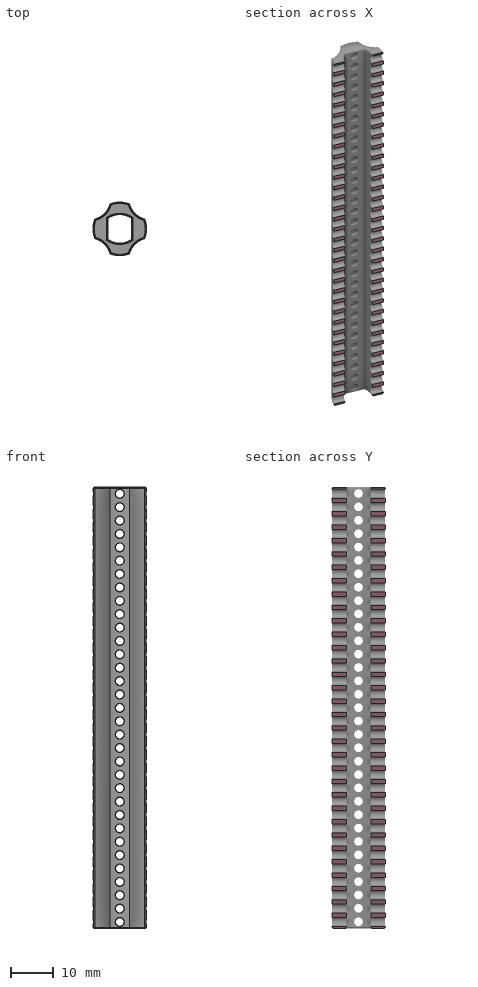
import cadquery as cq
import math

HOLE_PITCH = 3.125
HOLES_PER_ROW = 33
LENGTH = HOLE_PITCH * HOLES_PER_ROW
HOLE_DIAMETER = 2.0

RIB_COUNT = 4
RIB_SPACING = 360 / RIB_COUNT
OUTER_RADIUS = 6.25
RIB_HALF_WIDTH = 2.27
FLUTE_BOTTOM_RADIUS = 5.04
BORE_FLAT_WIDTH = 5.5
BORE_FLAT_LENGTH = 5.0
BORE_HEIGHT = 6.7

END_CHAMFER = 0.3


def turned(radius, angle_deg):
    """Point in the XY plane at a radius and angle about the tube axis."""
    angle = math.radians(angle_deg)
    return (radius * math.cos(angle), radius * math.sin(angle))


def make_body():
    """Fluted bar: four ribs with round tips, joined by concave flutes."""
    rib_half_angle = math.degrees(math.asin(RIB_HALF_WIDTH / OUTER_RADIUS))
    outline = cq.Workplane("XY").moveTo(*turned(OUTER_RADIUS, -rib_half_angle))
    for rib in range(RIB_COUNT):
        rib_angle = rib * RIB_SPACING
        rib_tip = turned(OUTER_RADIUS, rib_angle)
        rib_end = turned(OUTER_RADIUS, rib_angle + rib_half_angle)
        flute_bottom = turned(FLUTE_BOTTOM_RADIUS, rib_angle + RIB_SPACING / 2)
        next_rib_start = turned(OUTER_RADIUS, rib_angle + RIB_SPACING - rib_half_angle)
        outline = outline.threePointArc(rib_tip, rib_end)
        outline = outline.threePointArc(flute_bottom, next_rib_start)
    return outline.close().extrude(LENGTH)


def make_bore():
    """Bore through the full length: flats on the X sides, shallow arcs on the Y sides."""
    half_width = BORE_FLAT_WIDTH / 2
    half_height = BORE_HEIGHT / 2
    corner_y = BORE_FLAT_LENGTH / 2
    return (
        cq.Workplane("XY")
        .moveTo(half_width, -corner_y)
        .lineTo(half_width, corner_y)
        .threePointArc((0, half_height), (-half_width, corner_y))
        .lineTo(-half_width, -corner_y)
        .threePointArc((0, -half_height), (half_width, -corner_y))
        .close()
        .extrude(LENGTH)
    )


def make_hole_row(plane):
    """Row of cross pins along Z, each passing through two opposite ribs."""
    return (
        cq.Workplane(plane)
        .center(0, LENGTH / 2)
        .rarray(1, HOLE_PITCH, 1, HOLES_PER_ROW)
        .circle(HOLE_DIAMETER / 2)
        .extrude(OUTER_RADIUS, both=True)
    )


tube = make_body().cut(make_bore())
tube = tube.faces("<Z or >Z").chamfer(END_CHAMFER)
for hole_plane in ("XZ", "YZ"):
    tube = tube.cut(make_hole_row(hole_plane))

result = tube